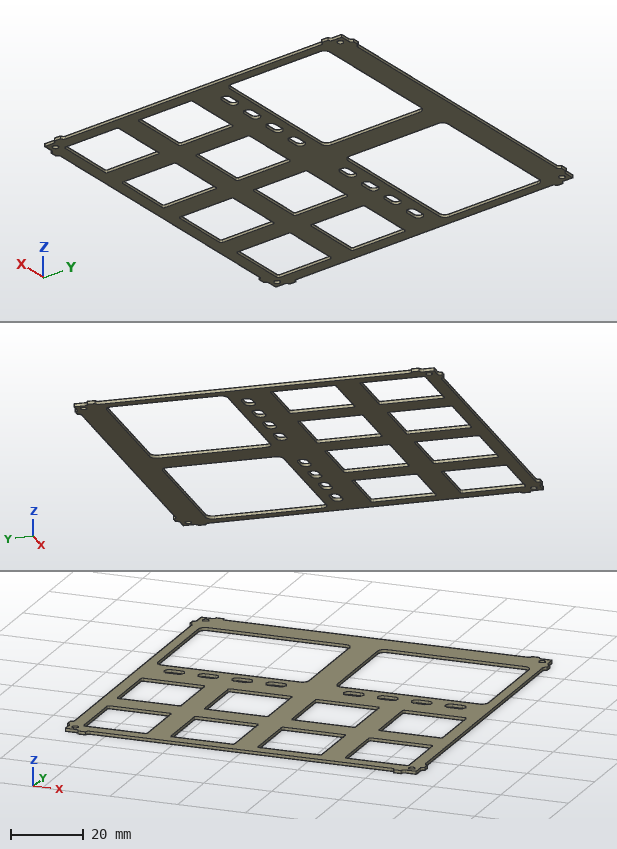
import cadquery as cq

overall_size = 105.6
thickness = 0.91
tab_height = 1.0
body_half = overall_size / 2 - tab_height

tab_centre = 46.7
tab_crest_length = 2.2

corner_hole_diameter = 1.8
corner_hole_offset = 49.7

window_width = 44.7
window_height = 34.8
window_radius = 2.0
window_centre_x = 26.5
window_centre_y = 26.5

slots_per_window = 4
slot_pitch = 10.0
slot_length = 5.9
slot_width = 3.0
slot_centre_y = 4.8

square_columns = 4
square_rows = 2
square_pitch = 25.8
square_size = 18.8
square_radius = 0.5


def centred_positions(count, pitch):
    """Evenly spaced positions, symmetric about zero."""
    return [(i - (count - 1) / 2) * pitch for i in range(count)]


def corner_tab():
    """Tab on the +Y edge near the +X corner, flaring to its foot in concave quarter arcs."""
    crest_y = body_half + tab_height
    crest_start = tab_centre - tab_crest_length / 2
    crest_end = tab_centre + tab_crest_length / 2
    return (
        cq.Workplane("XY")
        .moveTo(crest_start, crest_y)
        .lineTo(crest_end, crest_y)
        .radiusArc((crest_end + tab_height, body_half), -tab_height)
        .lineTo(crest_end + tab_height, 0)
        .lineTo(crest_start - tab_height, 0)
        .lineTo(crest_start - tab_height, body_half)
        .radiusArc((crest_start, crest_y), -tab_height)
        .close()
        .extrude(thickness)
    )


def plate_blank():
    """Square plate with a mirrored pair of tabs on each of its four edges."""
    blank = cq.Workplane("XY").rect(2 * body_half, 2 * body_half).extrude(thickness)
    tab = corner_tab()
    tab_pair = tab.union(tab.mirror("YZ"))
    for quarter_turn in range(4):
        blank = blank.union(tab_pair.rotate((0, 0, 0), (0, 0, 1), 90 * quarter_turn))
    return blank


def rounded_openings(centres, width, height, radius):
    """Through-cutters for rectangular openings with rounded corners."""
    openings = cq.Workplane("XY").pushPoints(centres).rect(width, height).extrude(thickness)
    return openings.edges("|Z").fillet(radius)


window_sides = (-window_centre_x, window_centre_x)
window_centres = [(x, window_centre_y) for x in window_sides]
slot_centres = [
    (side + shift, slot_centre_y)
    for side in window_sides
    for shift in centred_positions(slots_per_window, slot_pitch)
]
square_row_centre_y = -square_pitch
square_centres = [
    (x, square_row_centre_y + y)
    for x in centred_positions(square_columns, square_pitch)
    for y in centred_positions(square_rows, square_pitch)
]

windows = rounded_openings(window_centres, window_width, window_height, window_radius)
squares = rounded_openings(square_centres, square_size, square_size, square_radius)
slots = cq.Workplane("XY").pushPoints(slot_centres).slot2D(slot_length, slot_width).extrude(thickness)
corner_holes = (
    cq.Workplane("XY")
    .rect(2 * corner_hole_offset, 2 * corner_hole_offset, forConstruction=True)
    .vertices()
    .circle(corner_hole_diameter / 2)
    .extrude(thickness)
)

result = plate_blank().cut(windows).cut(squares).cut(slots).cut(corner_holes)